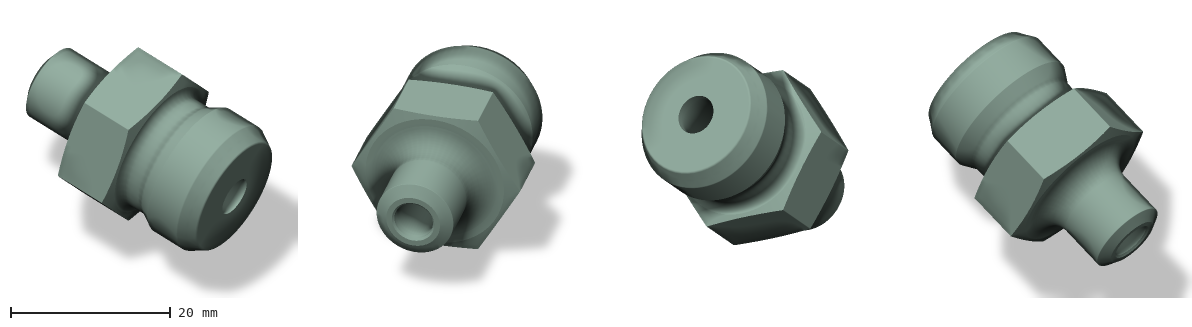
import cadquery as cq
import math

total_length = 30
bore_radius = 5.0 / 2
bore_mouth_radius = 2.75

stub_radius = 10.0 / 2
stub_tip_radius = 7.0 / 2
stub_bevel_angle = 60
stub_fillet = 3

hex_start = 10.0
hex_end = 18
hex_across_flats = 19.0
hex_bevel_radius = 18 / 2
hex_bevel_angle = 15

neck_radius = 15.6 / 2
neck_fillet = 1.0
collar_radius = 18 / 2
collar_start = 23.25
collar_end = 27.85
collar_angle = 30
end_round = 0.3
collar_shoulder_round = 0.3
edge_round = 0.1

edge_tolerance = 0.03

bore_mouth_depth = bore_mouth_radius - bore_radius
hex_across_corners = hex_across_flats / math.cos(math.radians(30))
hex_corner_radius = hex_across_corners / 2
hex_bevel_length = (hex_corner_radius - hex_bevel_radius) * math.tan(math.radians(hex_bevel_angle))
stub_bevel_length = (stub_radius - stub_tip_radius) / math.tan(math.radians(stub_bevel_angle))
collar_slope = math.tan(math.radians(collar_angle))
neck_end = collar_start - (collar_radius - neck_radius) / collar_slope
end_radius = collar_radius - (total_length - collar_end) * collar_slope


def revolve_about_x(profile):
    """Turn a closed profile of (axial, radial) coordinates around the X axis."""
    return profile.close().revolve(360, (0, 0, 0), (1, 0, 0))


def round_circle(body, x, radius, round_radius):
    """Round the circular edge of a given radius centred on the axis at x."""
    reach = radius + edge_tolerance
    edge_box = cq.selectors.BoxSelector(
        (x - edge_tolerance, -reach, -reach),
        (x + edge_tolerance, reach, reach),
        boundingbox=True,
    )
    return body.edges(edge_box).fillet(round_radius)


def fillet_midpoint(center_x, center_r, radius, direction):
    """Middle of a quarter-circle fillet, towards the axis and along X by direction."""
    offset = radius / math.sqrt(2)
    return center_x + direction * offset, center_r - offset


def make_stub():
    """Bevelled stub that flares into the hexagon with a concave fillet."""
    flare_start = hex_start - stub_fillet
    flare_radius = stub_radius + stub_fillet
    stub = revolve_about_x(
        cq.Workplane("XY")
        .lineTo(0, stub_tip_radius)
        .lineTo(stub_bevel_length, stub_radius)
        .lineTo(flare_start, stub_radius)
        .threePointArc(
            fillet_midpoint(flare_start, flare_radius, stub_fillet, 1),
            (hex_start, flare_radius),
        )
        .lineTo(hex_start, 0)
    )
    return round_circle(stub, stub_bevel_length, stub_radius, edge_round)


def make_hexagon():
    """Hexagon with flats facing Z and conical bevels on the corners at both ends."""
    hexagon = (
        cq.Workplane("YZ", origin=(hex_start, 0, 0))
        .polygon(6, hex_across_corners)
        .extrude(hex_end - hex_start)
        .edges("|X")
        .fillet(edge_round)
    )
    envelope = revolve_about_x(
        cq.Workplane("XY")
        .moveTo(hex_start, 0)
        .lineTo(hex_start, hex_bevel_radius)
        .lineTo(hex_start + hex_bevel_length, hex_corner_radius)
        .lineTo(hex_end - hex_bevel_length, hex_corner_radius)
        .lineTo(hex_end, hex_bevel_radius)
        .lineTo(hex_end, 0)
    )
    return hexagon.intersect(envelope)


def make_collar():
    """Neck and tapered collar, with a rounded far edge and a blended neck."""
    flare_start = hex_end + neck_fillet
    flare_radius = neck_radius + neck_fillet
    blend_angle = math.radians(collar_angle)
    blend_length = neck_fillet * math.tan(blend_angle / 2)
    blend_start = neck_end - blend_length
    blend_middle = (
        blend_start + neck_fillet * math.sin(blend_angle / 2),
        neck_radius + neck_fillet * (1 - math.cos(blend_angle / 2)),
    )
    blend_finish = (
        blend_start + neck_fillet * math.sin(blend_angle),
        neck_radius + neck_fillet * (1 - math.cos(blend_angle)),
    )
    collar = revolve_about_x(
        cq.Workplane("XY")
        .moveTo(hex_end, 0)
        .lineTo(hex_end, flare_radius)
        .threePointArc(
            fillet_midpoint(flare_start, flare_radius, neck_fillet, -1),
            (flare_start, neck_radius),
        )
        .lineTo(blend_start, neck_radius)
        .threePointArc(blend_middle, blend_finish)
        .lineTo(collar_start, collar_radius)
        .lineTo(collar_end, collar_radius)
        .lineTo(total_length, end_radius)
        .lineTo(total_length, 0)
    )
    collar = round_circle(collar, collar_start, collar_radius, edge_round)
    collar = round_circle(collar, collar_end, collar_radius, collar_shoulder_round)
    return round_circle(collar, total_length, end_radius, end_round)


def make_bore():
    """Through bore with a small conical mouth at the stub tip."""
    return revolve_about_x(
        cq.Workplane("XY")
        .lineTo(0, bore_mouth_radius)
        .lineTo(bore_mouth_depth, bore_radius)
        .lineTo(total_length, bore_radius)
        .lineTo(total_length, 0)
    )


result = make_stub().union(make_hexagon()).union(make_collar()).cut(make_bore())